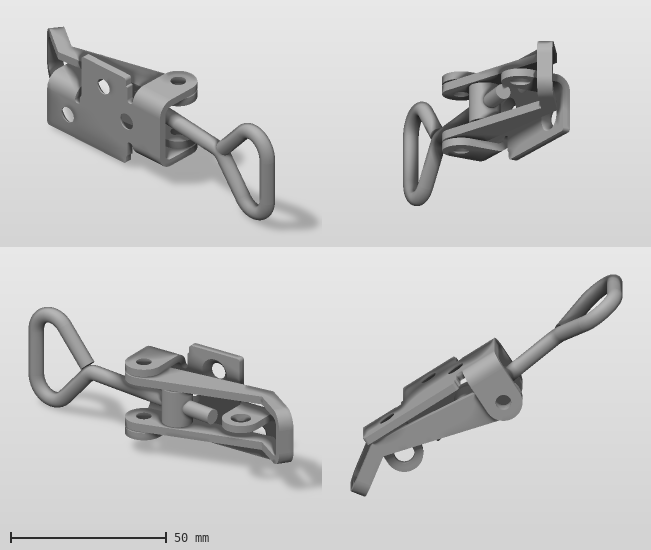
import cadquery as cq
import math


overall_length = 109.5

sheet = 2.5
bend_radius = 2 * sheet
overall_height = 21.0
tab_width = 12.3
tab_radius = tab_width / 2
pivot_y = overall_height - tab_radius
bracket_half_width = 12.5
plate_half_width = 16.1
pivot_hole = 5.0
lug_hole = 6.6
screw_hole = 5.5
centre_hole = 5.7
screw_x = (-19.0, -34.9)
screw_z = 8.8
centre_hole_x = -8.8
hole_land = 0.4
lug_x = -37.9
lug_outer_z = sheet
relief_width = 2.3
relief_radius = 1.0
relief_step = 0.7
ear_step_z = 13.2
lug_step_z = 0.7
corner_radius = 1.0
step_radius = 0.5

lever_half_width = 9.4
lever_sheet = 2.7
lever_end_radius = tab_radius
elbow_top = (-42.6, 9.9)
elbow_bottom = (-43.4, 4.4)
handle_angle = 35.0
handle_tip_x = -58.5
handle_corner_radius = 5.4

barrel_x = -11.7
barrel_y = 12.9
barrel_diameter = 10.1
barrel_length = 12.2
trunnion_diameter = 5.7

rod_diameter = 5.0
rod_tilt = 7.0
rod_start_u = -15.1
apex_u = 37.1
loop_half_height = 17.24
neck_radius = 5.0
loop_radius = 7.0


def cylinder_z(x, y, diameter, half_length):
    """Cylinder along Z, centred on the middle plane."""
    return cq.Workplane("XY").center(x, y).circle(diameter / 2).extrude(half_length, both=True)


def make_tab(x_middle, outer_z, hole_diameter):
    """Bent-up tab with a round end and a hole; its outside face is at outer_z."""
    bend_z = outer_z - bend_radius
    inner_z = outer_z - sheet
    inner_bend = bend_radius - sheet
    diagonal = math.sqrt(0.5)
    bent_strip = (
        cq.Workplane("YZ", origin=(x_middle - tab_radius, 0, 0))
        .moveTo(0, bend_z)
        .threePointArc(
            (bend_radius * (1 - diagonal), bend_z + bend_radius * diagonal),
            (bend_radius, outer_z),
        )
        .lineTo(overall_height, outer_z)
        .lineTo(overall_height, inner_z)
        .lineTo(bend_radius, inner_z)
        .threePointArc(
            (bend_radius - inner_bend * diagonal, bend_z + inner_bend * diagonal),
            (sheet, bend_z),
        )
        .close()
        .extrude(tab_width)
    )
    outline = (
        cq.Workplane("XY", origin=(x_middle, 0, bend_z))
        .moveTo(-tab_radius, 0)
        .lineTo(tab_radius, 0)
        .lineTo(tab_radius, pivot_y)
        .threePointArc((0, overall_height), (-tab_radius, pivot_y))
        .close()
        .extrude(bend_radius)
    )
    hole = cylinder_z(x_middle, pivot_y, hole_diameter, bracket_half_width)
    return bent_strip.intersect(outline).cut(hole)


def plate_drill(x, z, diameter):
    """Cylinder along Y that passes through the plate."""
    return cq.Workplane("XZ").center(x, z).circle(diameter / 2).extrude(-sheet)


def countersunk_drill(x, z, diameter):
    """Plate hole with a 90 degree countersink opening on the inside face."""
    sink_depth = sheet - hole_land
    sink = (
        cq.Workplane("XZ", origin=(x, hole_land, z))
        .circle(diameter / 2)
        .workplane(offset=-sink_depth)
        .circle(diameter / 2 + sink_depth)
        .loft()
    )
    return plate_drill(x, z, diameter).union(sink)


def make_plate():
    ear_start = -tab_radius
    ear_relief_start = ear_start - relief_width
    plate_end = ear_relief_start - relief_step
    ear_bend_z = bracket_half_width - bend_radius
    ear_relief_z = ear_bend_z + relief_radius

    lug_start = lug_x - tab_radius
    lug_end = lug_x + tab_radius
    lug_relief_end = lug_end + relief_width
    shoulder_x = lug_relief_end + relief_step
    lug_bend_z = lug_outer_z - bend_radius
    lug_relief_z = lug_bend_z + relief_radius

    ear_side = [
        (plate_end, plate_half_width),
        (plate_end, ear_step_z),
        (ear_relief_start, ear_step_z),
        (ear_relief_start, ear_relief_z),
        (ear_start, ear_relief_z),
        (ear_start, ear_bend_z),
        (tab_radius, ear_bend_z),
    ]
    lug_side = [
        (lug_start, -plate_half_width),
        (lug_start, lug_bend_z),
        (lug_end, lug_bend_z),
        (lug_end, lug_relief_z),
        (lug_relief_end, lug_relief_z),
        (lug_relief_end, lug_step_z),
        (shoulder_x, lug_step_z),
        (shoulder_x, plate_half_width),
    ]
    lower_ear_side = [(x, -z) for x, z in reversed(ear_side)]
    plate = cq.Workplane("XZ").polyline(ear_side + lower_ear_side + lug_side).close().extrude(-sheet)

    rounded_corners = [
        (plate_end, plate_half_width, corner_radius),
        (plate_end, -plate_half_width, corner_radius),
        (shoulder_x, plate_half_width, corner_radius),
        (lug_start, -plate_half_width, corner_radius),
        (ear_relief_start, ear_step_z, step_radius),
        (ear_relief_start, -ear_step_z, step_radius),
        (lug_relief_end, lug_step_z, step_radius),
    ]
    for x, z, radius in rounded_corners:
        corner = cq.selectors.NearestToPointSelector((x, sheet / 2, z))
        plate = plate.edges(corner).fillet(radius)

    ear_relief_x = ear_start - relief_width / 2
    for x, z in [
        (ear_relief_x, ear_relief_z),
        (ear_relief_x, -ear_relief_z),
        (lug_end + relief_width / 2, lug_relief_z),
    ]:
        relief = cq.Workplane("XZ").center(x, z).slot2D(relief_width, 2 * relief_radius).extrude(-sheet)
        plate = plate.cut(relief)

    plate = plate.cut(countersunk_drill(screw_x[0], screw_z, screw_hole))
    plate = plate.cut(countersunk_drill(screw_x[1], -screw_z, screw_hole))
    return plate.cut(countersunk_drill(centre_hole_x, 0, centre_hole))


def make_bracket():
    ear = make_tab(0, bracket_half_width, pivot_hole)
    lug = make_tab(lug_x, lug_outer_z, lug_hole)
    return make_plate().union(ear).union(ear.mirror("XY")).union(lug)


def tangent_point(point, side):
    """Point where a line from the given point touches the round pivot end of the lever."""
    dx = point[0]
    dy = point[1] - pivot_y
    angle = math.atan2(dy, dx) + side * math.acos(lever_end_radius / math.hypot(dx, dy))
    return (lever_end_radius * math.cos(angle), pivot_y + lever_end_radius * math.sin(angle))


def make_lever():
    slope = math.radians(handle_angle)
    along = (-math.cos(slope), math.sin(slope))
    across = (math.sin(slope), math.cos(slope))
    rise = (elbow_bottom[0] - handle_tip_x) * math.tan(slope)
    tip_bottom = (handle_tip_x, elbow_bottom[1] + rise)
    handle_depth = sum((top - low) * a for top, low, a in zip(elbow_top, elbow_bottom, across))
    tip_top = tuple(t + handle_depth * a for t, a in zip(tip_bottom, across))

    lever = (
        cq.Workplane("XY", origin=(0, 0, -lever_half_width))
        .moveTo(*tip_bottom)
        .lineTo(*elbow_bottom)
        .lineTo(*tangent_point(elbow_bottom, 1))
        .threePointArc((lever_end_radius, pivot_y), tangent_point(elbow_top, -1))
        .lineTo(*elbow_top)
        .lineTo(*tip_top)
        .close()
        .extrude(2 * lever_half_width)
    )
    tip_middle_x = (tip_bottom[0] + tip_top[0]) / 2
    tip_middle_y = (tip_bottom[1] + tip_top[1]) / 2
    for z in (lever_half_width, -lever_half_width):
        tip_corner = cq.selectors.NearestToPointSelector((tip_middle_x, tip_middle_y, z))
        lever = lever.edges(tip_corner).fillet(handle_corner_radius)

    clearance = -handle_tip_x
    tip_plane = cq.Plane(
        origin=(tip_middle_x, tip_middle_y, 0),
        xDir=(-along[0], -along[1], 0),
        normal=(across[0], across[1], 0),
    )
    hollow = (
        cq.Workplane(tip_plane)
        .center(lever_sheet + clearance, 0)
        .rect(2 * clearance, 2 * (lever_half_width - lever_sheet))
        .extrude(clearance, both=True)
    )
    for z in (1, -1):
        inner_corner = cq.selectors.NearestToPointSelector((
            tip_middle_x - lever_sheet * along[0],
            tip_middle_y - lever_sheet * along[1],
            z * (lever_half_width - lever_sheet),
        ))
        hollow = hollow.edges(inner_corner).fillet(handle_corner_radius - lever_sheet)
    lever = lever.cut(hollow)

    lever = lever.cut(cylinder_z(0, pivot_y, pivot_hole, lever_half_width))
    return lever.cut(cylinder_z(barrel_x, barrel_y, trunnion_diameter, lever_half_width))


def rod_plane():
    """Plane of the hooked rod: local x along the rod, local y along Z."""
    tilt = math.radians(rod_tilt)
    return cq.Plane(
        origin=(barrel_x, barrel_y, 0),
        xDir=(math.cos(tilt), -math.sin(tilt), 0),
        normal=(-math.sin(tilt), -math.cos(tilt), 0),
    )


def make_barrel():
    body = cylinder_z(barrel_x, barrel_y, barrel_diameter, barrel_length / 2)
    trunnions = cylinder_z(barrel_x, barrel_y, trunnion_diameter, lever_half_width)
    bore = (
        cq.Workplane(rod_plane())
        .transformed(rotate=(0, 90, 0))
        .circle(rod_diameter / 2)
        .extrude(barrel_diameter, both=True)
    )
    return body.union(trunnions).cut(bore)


def make_rod():
    crossbar_x = handle_tip_x + overall_length - rod_diameter / 2
    crossbar_u = (crossbar_x - barrel_x) / math.cos(math.radians(rod_tilt))

    centre_u = crossbar_u - loop_radius
    centre_z = loop_half_height - rod_diameter / 2 - loop_radius
    reach = centre_u - apex_u
    leg_angle = math.atan2(centre_z, reach) + math.asin(loop_radius / math.hypot(centre_z, reach))

    neck_tangent = neck_radius * math.tan(leg_angle / 2)
    neck_start = (apex_u - neck_tangent, 0)
    neck_middle = (
        neck_start[0] + neck_radius * math.sin(leg_angle / 2),
        -neck_radius * (1 - math.cos(leg_angle / 2)),
    )
    neck_end = (
        apex_u + neck_tangent * math.cos(leg_angle),
        -neck_tangent * math.sin(leg_angle),
    )

    def corner_point(side, angle):
        """Point on a loop corner; side is 1 for the upper corner and -1 for the lower one."""
        return (
            centre_u + loop_radius * math.cos(angle),
            side * (centre_z + loop_radius * math.sin(angle)),
        )

    leg_contact = math.pi / 2 + leg_angle
    path = (
        cq.Workplane(rod_plane())
        .moveTo(rod_start_u, 0)
        .lineTo(*neck_start)
        .threePointArc(neck_middle, neck_end)
        .lineTo(*corner_point(-1, leg_contact))
        .threePointArc(corner_point(-1, leg_contact / 2), corner_point(-1, 0))
        .lineTo(*corner_point(1, 0))
        .threePointArc(corner_point(1, leg_contact / 2), corner_point(1, leg_contact))
        .lineTo(neck_end[0], -neck_end[1])
    )
    return (
        cq.Workplane(rod_plane())
        .transformed(offset=(rod_start_u, 0, 0), rotate=(0, 90, 0))
        .circle(rod_diameter / 2)
        .sweep(path)
    )


bracket = make_bracket()
lever = make_lever()
barrel = make_barrel()
rod = make_rod()

result = cq.Compound.makeCompound([bracket.val(), lever.val(), barrel.val(), rod.val()])